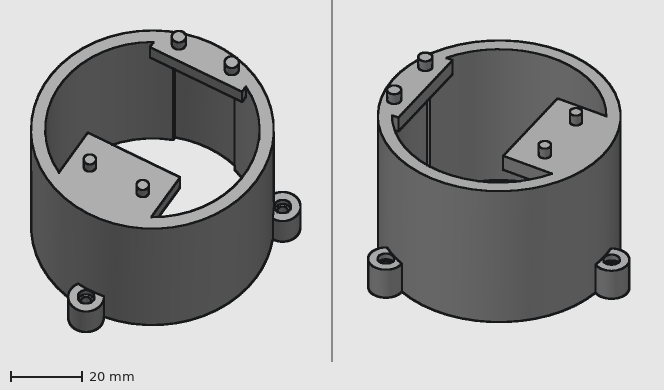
import cadquery as cq

outer_diameter = 68.0
inner_diameter = 60.0
body_height = 46.8

lug_diameter = 10.05
lug_height = 10.05
lug_circle_radius = 36.45
lug_angles = (30, 150, 270)
screw_hole_diameter = 2.9
counterbore_diameter = 4.6
counterbore_depth = 2.05

recess_width = 20.0
recess_depth = 1.0

ledge_width = 30.05
ledge_thickness = 5.0
rear_ledge_edge = 23.9
front_ledge_edge = -10.1

pin_height = 3.5
pin_spacing = 17.2
rear_pin_diameter = 4.0
rear_pin_y = 29.05
front_pin_diameter = 3.5
front_pin_y = -19.85


def cylinder(diameter, height, base_z=0):
    return cq.Workplane("XY").workplane(offset=base_z).circle(diameter / 2).extrude(height)


def make_ledge(edge_y, wall_y):
    """Block from its straight edge out to the wall, trimmed to the outer cylinder."""
    block = (
        cq.Workplane("XY")
        .workplane(offset=body_height - ledge_thickness)
        .center(0, (edge_y + wall_y) / 2)
        .rect(ledge_width, abs(wall_y - edge_y))
        .extrude(ledge_thickness)
    )
    return block.intersect(cylinder(outer_diameter, body_height))


def make_pins(diameter, y):
    return (
        cq.Workplane("XY")
        .workplane(offset=body_height)
        .pushPoints([(-pin_spacing / 2, y), (pin_spacing / 2, y)])
        .circle(diameter / 2)
        .extrude(pin_height)
    )


def at_lug(solid, angle):
    return solid.translate((lug_circle_radius, 0, 0)).rotate((0, 0, 0), (0, 0, 1), angle)


outer_radius = outer_diameter / 2
bore = cylinder(inner_diameter, body_height)

result = cylinder(outer_diameter, body_height)
for angle in lug_angles:
    result = result.union(at_lug(cylinder(lug_diameter, lug_height), angle))
result = result.cut(bore)

screw_cut = cylinder(screw_hole_diameter, lug_height).union(
    cylinder(counterbore_diameter, counterbore_depth, lug_height - counterbore_depth)
)
for angle in lug_angles:
    result = result.cut(at_lug(screw_cut, angle))

recess_strip = (
    cq.Workplane("XY")
    .center(0, outer_radius / 2)
    .rect(recess_width, outer_radius)
    .extrude(body_height - ledge_thickness)
)
recess_bore = cylinder(inner_diameter + 2 * recess_depth, body_height)
result = result.cut(recess_bore.intersect(recess_strip))

result = result.union(make_ledge(rear_ledge_edge, outer_radius))
result = result.union(make_ledge(front_ledge_edge, -outer_radius))
result = result.union(make_pins(rear_pin_diameter, rear_pin_y))
result = result.union(make_pins(front_pin_diameter, front_pin_y))